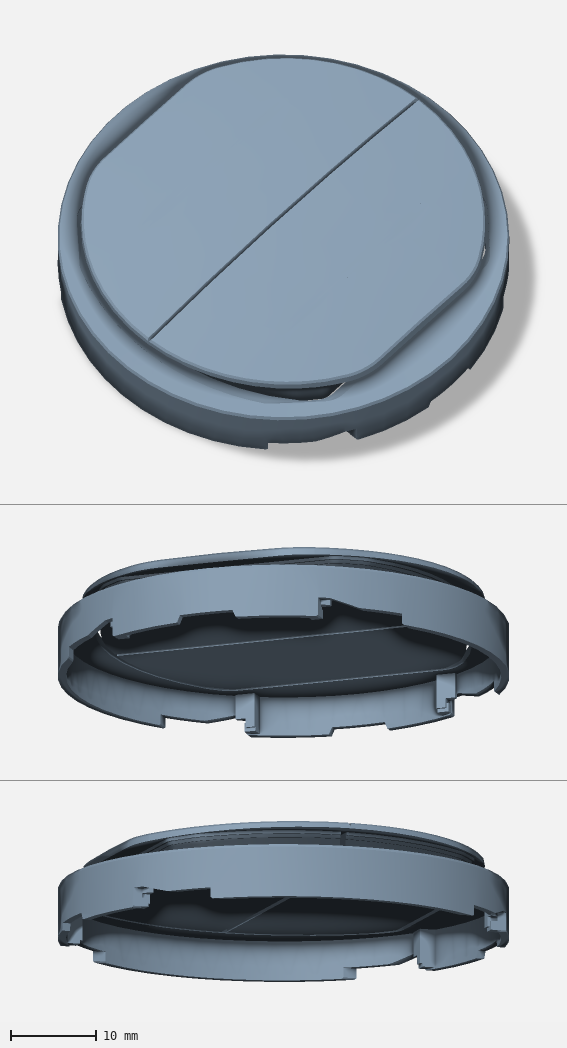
import cadquery as cq
import math

HOUSING_RADIUS = 26.5
HOUSING_HEIGHT = 6.25
EDGE_WIDTH = 0.2
EDGE_HEIGHT = 0.3
WALL_INNER_RADIUS = 25.55
SEAT_RADIUS = 22.4
SEAT_HEIGHT = 6.0
TOP_PLATE_BOTTOM = 4.65

OPENING_UPPER = dict(half_width=20.5, half_length=23.1, arc_radius=30.75, corner_sum=34.1)
OPENING_LOWER = dict(half_width=19.4, half_length=21.6, arc_radius=29.7, corner_sum=33.4)
OPENING_CORNER_RADIUS = 3.2
OPENING_BEVEL_DEPTH = 0.2

NOTCH_NEAR_Y = 12.8
NOTCH_FAR_Y = 20.85
NOTCH_HEIGHT = 1.3
RAMP_START_Y = 16.95
RAMP_END_Y = 14.05
RAMP_HEIGHT = 2.3
NOTCH_MOUTH = 0.15
NOTCH_MOUTH_HEIGHT = 0.15
KEYWAY_TOP_HALF = 3.3
KEYWAY_BOTTOM_HALF = 3.65
KEYWAY_HEIGHT = 0.85

LUG_OUTER_X = 23.3
LUG_NEAR_Y = 11.4
LUG_INNER_X = 21.0
LUG_STEM_FAR_Y = 12.5
LUG_STEM_BOTTOM = 0.6
LUG_TOE_INNER_X = 21.3
LUG_TOE_FAR_Y = 12.75
LUG_TOE_BOTTOM = 0.15
LUG_TOE_TOP = 1.2
LUG_HEAD_FAR_Y = 13.75
LUG_HEAD_BOTTOM = 1.7

TOP_HEIGHT = 10.75
DOME_RADIUS_X = 169.6
DOME_RADIUS_Y = 241.15
UNDERSIDE_RADIUS = 344.5
KEY_UNDERSIDE = 8.9
KEY_RADIUS = 23.85
KEY_HALF_WIDTH = 22.0
KEY_CORNER_RADIUS = 9.0
KEY_DRAFT = 10.0
KEY_BASE = 8.15
KEY_EDGE = 0.2
SEAM_HALF_WIDTH = 0.2
SEAM_DEPTH = 0.5
SKIRT_GAP = 0.7
SKIRT_BOTTOM = TOP_PLATE_BOTTOM
SKIRT_HALF_WIDTH = 18.7
SKIRT_SIDE_HALF = 13.3
SKIRT_HALF_LENGTH = 21.0
SKIRT_ARC_RADIUS = 29.45
SKIRT_ARC_HALF = 16.3
SKIRT_SIDE_FILLET = 1.6
SKIRT_END_FILLET = 4.75
FLARE_STEPS = [(0.15, 8.1), (0.4, 8.55)]

STRIP_X = 11.15
STRIP_WIDTH = 0.85
STRIP_LENGTH = 26.1
STRIP_DEPTH = 0.65

BIG = 63.6


def box(x0, x1, y0, y1, z0, z1):
    return cq.Workplane("XY").box(x1 - x0, y1 - y0, z1 - z0, centered=False).translate((x0, y0, z0))


def disc(radius, z0, z1):
    return cq.Workplane("XY").workplane(offset=z0).circle(radius).extrude(z1 - z0)


def four_corners(shape):
    mirrored = shape.union(shape.mirror("YZ"))
    return mirrored.union(mirrored.mirror("XZ"))


def opening_prism(z0, z1, half_width, half_length, arc_radius, corner_sum):
    """Straight sides, 45 degree corners and arched ends, centred on the origin."""
    side_y = corner_sum - half_width
    centre_y = half_length - arc_radius
    reach = corner_sum - centre_y
    end_x = (reach - math.sqrt(2 * arc_radius**2 - reach**2)) / 2
    end_y = corner_sum - end_x
    return (
        cq.Workplane("XY").workplane(offset=z0)
        .moveTo(half_width, -side_y)
        .lineTo(half_width, side_y)
        .lineTo(end_x, end_y)
        .threePointArc((0, half_length), (-end_x, end_y))
        .lineTo(-half_width, side_y)
        .lineTo(-half_width, -side_y)
        .lineTo(-end_x, -end_y)
        .threePointArc((0, -half_length), (end_x, -end_y))
        .close()
        .extrude(z1 - z0)
        .edges("|Z").fillet(OPENING_CORNER_RADIUS)
    )


def housing_opening():
    bevel_bottom = SEAT_HEIGHT - OPENING_BEVEL_DEPTH
    lower = opening_prism(0, bevel_bottom, **OPENING_LOWER)
    upper = opening_prism(SEAT_HEIGHT, HOUSING_HEIGHT, **OPENING_UPPER)
    lower_wire = lower.faces(">Z").wires().val()
    upper_wire = upper.faces("<Z").wires().val()
    bevel = cq.Workplane(cq.Solid.makeLoft([lower_wire, upper_wire], True))
    return lower.union(bevel).union(upper)


def bayonet_notch():
    """A ramped notch at positive Y, cut through both side walls."""
    return (
        cq.Workplane("YZ")
        .polyline([
            (NOTCH_NEAR_Y - NOTCH_MOUTH, 0),
            (NOTCH_NEAR_Y, NOTCH_MOUTH_HEIGHT),
            (NOTCH_NEAR_Y, RAMP_HEIGHT),
            (RAMP_END_Y, RAMP_HEIGHT),
            (RAMP_START_Y, NOTCH_HEIGHT),
            (NOTCH_FAR_Y, NOTCH_HEIGHT),
            (NOTCH_FAR_Y, NOTCH_MOUTH_HEIGHT),
            (NOTCH_FAR_Y + NOTCH_MOUTH, 0),
        ])
        .close()
        .extrude(BIG, both=True)
    )


def keyways():
    """One cut from side to side that opens a keyway in each wall."""
    return (
        cq.Workplane("YZ")
        .polyline([
            (-KEYWAY_BOTTOM_HALF, 0),
            (-KEYWAY_TOP_HALF, KEYWAY_HEIGHT),
            (KEYWAY_TOP_HALF, KEYWAY_HEIGHT),
            (KEYWAY_BOTTOM_HALF, 0),
        ])
        .close()
        .extrude(BIG, both=True)
    )


def stop_lug():
    top = TOP_PLATE_BOTTOM
    stem = box(LUG_INNER_X, LUG_OUTER_X, LUG_NEAR_Y, LUG_STEM_FAR_Y, LUG_STEM_BOTTOM, top)
    toe = box(LUG_TOE_INNER_X, LUG_OUTER_X, LUG_NEAR_Y, LUG_TOE_FAR_Y, LUG_TOE_BOTTOM, LUG_TOE_TOP)
    head = box(LUG_INNER_X, LUG_OUTER_X, LUG_NEAR_Y, LUG_HEAD_FAR_Y, LUG_HEAD_BOTTOM, top)
    return stem.union(toe).union(head).intersect(disc(WALL_INNER_RADIUS, 0, top))


def make_housing():
    shell = (
        cq.Workplane("XZ")
        .polyline([
            (0, TOP_PLATE_BOTTOM),
            (WALL_INNER_RADIUS, TOP_PLATE_BOTTOM),
            (WALL_INNER_RADIUS, 0),
            (HOUSING_RADIUS, 0),
            (HOUSING_RADIUS, HOUSING_HEIGHT - EDGE_HEIGHT),
            (HOUSING_RADIUS - EDGE_WIDTH, HOUSING_HEIGHT),
            (SEAT_RADIUS, SEAT_HEIGHT),
            (0, SEAT_HEIGHT),
        ])
        .close()
        .revolve(360, (0, 0), (0, 1))
    )
    notch = bayonet_notch()
    shell = shell.cut(housing_opening()).cut(notch).cut(notch.mirror("XZ")).cut(keyways())
    return shell.union(four_corners(stop_lug()))


def around_dome_axis(profile):
    """Revolve an XZ profile about the axis of the dome, with the seam on the far side."""
    axis_z = TOP_HEIGHT - DOME_RADIUS_Y
    turned = profile.revolve(360, (0, axis_z), (1, axis_z))
    return turned.rotate((0, 0, axis_z), (1, 0, axis_z), 180)


def below_dome(depth=0.0):
    """Everything under the crowned surface lowered by the given depth."""
    half = HOUSING_RADIUS
    crown = TOP_HEIGHT - depth
    edge = crown - DOME_RADIUS_X + math.sqrt(DOME_RADIUS_X**2 - half**2)
    axis_z = TOP_HEIGHT - DOME_RADIUS_Y
    return around_dome_axis(
        cq.Workplane("XZ")
        .moveTo(-half, axis_z)
        .lineTo(-half, edge)
        .threePointArc((0, crown), (half, edge))
        .lineTo(half, axis_z)
        .close()
    )


def seam_groove():
    return around_dome_axis(
        cq.Workplane("XZ")
        .polyline([
            (-2 * SEAM_HALF_WIDTH, TOP_HEIGHT + SEAM_DEPTH),
            (0, TOP_HEIGHT - SEAM_DEPTH),
            (2 * SEAM_HALF_WIDTH, TOP_HEIGHT + SEAM_DEPTH),
        ])
        .close()
    )


def above_underside(crown):
    half = HOUSING_RADIUS
    edge = crown - UNDERSIDE_RADIUS + math.sqrt(UNDERSIDE_RADIUS**2 - half**2)
    return (
        cq.Workplane("XZ")
        .moveTo(-half, edge)
        .threePointArc((0, crown), (half, edge))
        .lineTo(half, TOP_HEIGHT)
        .lineTo(-half, TOP_HEIGHT)
        .close()
        .extrude(BIG, both=True)
    )


def key_outline():
    """A circle with flattened sides, rounded where the flats meet the circle."""
    r = KEY_CORNER_RADIUS
    centre_x = KEY_HALF_WIDTH - r
    centre_y = math.sqrt((KEY_RADIUS - r) ** 2 - centre_x**2)
    bearing = math.atan2(centre_y, centre_x)
    join_x = KEY_RADIUS * math.cos(bearing)
    join_y = KEY_RADIUS * math.sin(bearing)
    mid_x = centre_x + r * math.cos(bearing / 2)
    mid_y = centre_y + r * math.sin(bearing / 2)
    return (
        cq.Workplane("XY").workplane(offset=KEY_BASE)
        .moveTo(KEY_HALF_WIDTH, -centre_y)
        .lineTo(KEY_HALF_WIDTH, centre_y)
        .threePointArc((mid_x, mid_y), (join_x, join_y))
        .threePointArc((0, KEY_RADIUS), (-join_x, join_y))
        .threePointArc((-mid_x, mid_y), (-KEY_HALF_WIDTH, centre_y))
        .lineTo(-KEY_HALF_WIDTH, -centre_y)
        .threePointArc((-mid_x, -mid_y), (-join_x, -join_y))
        .threePointArc((0, -KEY_RADIUS), (join_x, -join_y))
        .threePointArc((mid_x, -mid_y), (KEY_HALF_WIDTH, -centre_y))
        .close()
    )


def key_plates():
    blank = key_outline().extrude(TOP_HEIGHT - KEY_BASE, taper=KEY_DRAFT)
    domed = blank.intersect(below_dome())
    domed = domed.faces(">Z").edges().chamfer(KEY_EDGE)
    return domed.intersect(above_underside(KEY_UNDERSIDE)).cut(seam_groove())


def skirt_block(margin):
    """Skirt outline grown by a margin: flat sides, rounded bevelled corners, arched ends."""
    side_x = SKIRT_HALF_WIDTH
    side_y = SKIRT_SIDE_HALF
    end_x = SKIRT_ARC_HALF
    end_y = SKIRT_HALF_LENGTH - SKIRT_ARC_RADIUS + math.sqrt(SKIRT_ARC_RADIUS**2 - end_x**2)
    block = (
        cq.Workplane("XY").workplane(offset=SKIRT_BOTTOM)
        .moveTo(side_x, -side_y)
        .lineTo(side_x, side_y)
        .lineTo(end_x, end_y)
        .threePointArc((0, SKIRT_HALF_LENGTH), (-end_x, end_y))
        .lineTo(-side_x, side_y)
        .lineTo(-side_x, -side_y)
        .lineTo(-end_x, -end_y)
        .threePointArc((0, -SKIRT_HALF_LENGTH), (end_x, -end_y))
        .close()
    )
    if margin:
        block = block.offset2D(margin, "intersection")
    block = block.extrude(KEY_UNDERSIDE - SKIRT_BOTTOM)
    block = block.faces("<X or >X").edges("|Z").fillet(SKIRT_SIDE_FILLET)
    return block.faces("<Y or >Y").edges("|Z").fillet(SKIRT_END_FILLET)


def key_supports():
    supports = skirt_block(0)
    for margin, underside in FLARE_STEPS:
        supports = supports.union(skirt_block(margin).intersect(above_underside(underside)))
    gap = box(-SKIRT_GAP / 2, SKIRT_GAP / 2, -BIG, BIG, 0, KEY_UNDERSIDE)
    return supports.cut(gap)


def strip_slot(side):
    return (
        cq.Workplane("XY").workplane(offset=KEY_UNDERSIDE)
        .center(side * STRIP_X, 0)
        .slot2D(STRIP_LENGTH, STRIP_WIDTH, 90)
        .extrude(TOP_HEIGHT - KEY_UNDERSIDE)
        .cut(below_dome(STRIP_DEPTH))
    )


def make_rocker(side):
    half_space = box(min(0, side * BIG), max(0, side * BIG), -BIG, BIG, 0, BIG)
    pair = key_plates().union(key_supports())
    return pair.intersect(half_space).cut(strip_slot(side))


def make_strip(side):
    return strip_slot(side).intersect(below_dome())


SIDES = (-1, 1)
housing = make_housing()
rockers = [make_rocker(side) for side in SIDES]
strips = [make_strip(side) for side in SIDES]

result = cq.Compound.makeCompound([
    housing.val(),
    *[rocker.val() for rocker in rockers],
    *[strip.val() for strip in strips],
])